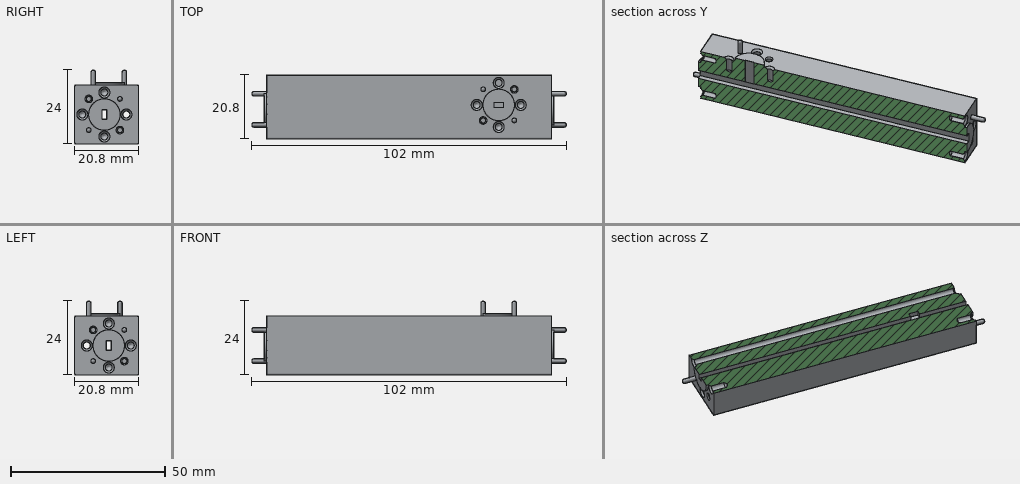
import cadquery as cq
import math

total_length = 102.0
total_height = 24.0
pin_length = 4.8
body_length = total_length - 2 * pin_length
body_width = 20.8
body_height = total_height - pin_length
edge_radius = 0.5

boss_diameter = 10.2
boss_height = 0.76
bolt_circle_radius = 7.1
guide_wide = 3.1
guide_narrow = 1.5

screw_hole_diameter = 2.2
screw_hole_mouth = 3.6
screw_hole_depth = 5.1
drill_point_angle = 118.0

pin_diameter = 1.5
pin_tip_radius = 0.7
pin_hole_diameter = 1.6
pin_hole_mouth = 2.4
pin_hole_depth = 4.1

end_port_y = -0.7
end_port_z = body_height / 2
top_port_x = 29.1
top_port_y = 0.7
top_guide_depth = body_height - end_port_z + guide_wide / 2

half_length = body_length / 2
pin_offset = bolt_circle_radius * math.sqrt(0.5)

left_plane = cq.Plane((-half_length, end_port_y, end_port_z), (0, -1, 0), (-1, 0, 0))
right_plane = cq.Plane((half_length, end_port_y, end_port_z), (0, 1, 0), (1, 0, 0))
top_plane = cq.Plane((top_port_x, top_port_y, body_height), (0, 1, 0), (0, 0, 1))

local_right = (1, 0)
local_left = (-1, 0)
screw_directions = [local_right, local_left, (0, 1), (0, -1)]


def place(solid, plane, x, y):
    """Move a solid from the origin to the local point (x, y) of a flange plane."""
    location = cq.Location(plane) * cq.Location(cq.Vector(x, y, 0))
    return cq.Workplane(solid.val().moved(location))


def countersunk_hole(diameter, mouth, depth, pointed):
    """Cutter below Z = 0 with a 45 degree mouth and a flat or drill-pointed bottom."""
    radius = diameter / 2
    sink = (mouth - diameter) / 2
    point_length = radius / math.tan(math.radians(drill_point_angle / 2)) if pointed else 0
    profile = [(0, 0), (mouth / 2, 0), (radius, -sink), (radius, -depth), (0, -depth - point_length)]
    return cq.Workplane("XZ").polyline(profile).close().revolve(360, (0, 0, 0), (0, 1, 0))


def dowel_pin():
    """Pin standing on Z = 0 with a rounded tip."""
    pin = cq.Workplane("XY").circle(pin_diameter / 2).extrude(pin_length)
    return pin.faces(">Z").edges().fillet(pin_tip_radius)


def add_flange(part, plane, guide_depth, flat_hole, flat_depth):
    """Add one port; its screw hole in the flat_hole direction has a flat bottom at flat_depth."""
    boss = cq.Workplane("XY").circle(boss_diameter / 2).extrude(boss_height)
    part = part.union(place(boss, plane, 0, 0))

    for x, y in screw_directions:
        is_flat = (x, y) == flat_hole
        depth = flat_depth if is_flat else screw_hole_depth
        hole = countersunk_hole(screw_hole_diameter, screw_hole_mouth, depth, not is_flat)
        part = part.cut(place(hole, plane, x * bolt_circle_radius, y * bolt_circle_radius))

    pin_hole = countersunk_hole(pin_hole_diameter, pin_hole_mouth, pin_hole_depth, False)
    for side in (-1, 1):
        offset = side * pin_offset
        part = part.union(place(dowel_pin(), plane, offset, offset))
        part = part.cut(place(pin_hole, plane, offset, -offset))

    guide = cq.Workplane("XY").workplane(offset=boss_height).rect(guide_narrow, guide_wide)
    guide = guide.extrude(-boss_height - guide_depth)
    return part.cut(place(guide, plane, 0, 0))


body = cq.Workplane("XY").box(body_length, body_width, body_height, centered=(True, True, False))
body = body.edges("|X").fillet(edge_radius)

result = add_flange(body, left_plane, half_length, local_left, half_length)
result = add_flange(result, right_plane, half_length, local_right, half_length)
result = add_flange(result, top_plane, top_guide_depth, local_right, screw_hole_depth)